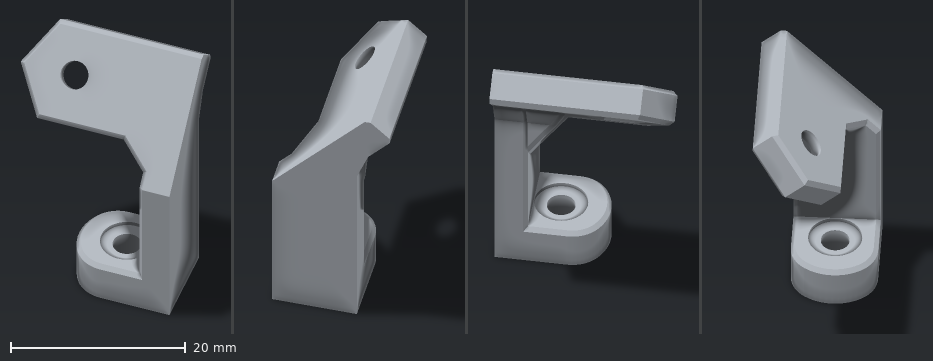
import cadquery as cq
import math

column_width = 3.8
body_depth = 10.0
foot_length = 12.73
foot_height = 5.0
foot_end_radius = 5.78
foot_corner_radius = 4.0
chamfer_size = 0.5

bend_height = 18.85
plate_tilt = 47.7
plate_thickness = 4.0
plate_length = 20.85
plate_lower_edge = 5.1
plate_upper_edge = 16.75
plate_tip_length = 3.4
plate_middle = (plate_lower_edge + plate_upper_edge) / 2

inner_corner_leg = 3.12
gusset_leg = 4.48
back_flare_leg = 1.98

hole_diameter = 3.3
counterbore_diameter = 6.2
counterbore_depth = 0.5
foot_hole_x = foot_end_radius - foot_length
plate_hole_x = -14.18
nut_across_flats = 6.12
nut_across_corners = nut_across_flats / math.cos(math.pi / 6)
nut_pocket_floor = 1.42

inner_corner_sum = plate_lower_edge - inner_corner_leg - column_width

tolerance = 0.003
tilt_sin = math.sin(math.radians(plate_tilt))
tilt_cos = math.cos(math.radians(plate_tilt))

plate_plane = cq.Plane(origin=(0, 0, bend_height), xDir=(1, 0, 0), normal=(0, -tilt_sin, tilt_cos))

back_corner_height = bend_height + (body_depth * tilt_sin - plate_thickness) / tilt_cos


def slope_point(slope, depth):
    """Global (y, z) of a point up the slope and behind the plate's front face."""
    y = slope * tilt_cos + depth * tilt_sin
    z = bend_height + slope * tilt_sin - depth * tilt_cos
    return y, z


back_bottom = (body_depth, 0)
back_corner_slope = (body_depth - plate_thickness * tilt_sin) / tilt_cos
flare_top_slope = back_corner_slope + back_flare_leg
flare_bottom = (body_depth, back_corner_height - back_flare_leg)
flare_top = slope_point(flare_top_slope, plate_thickness)

flare_root = (2 * flare_bottom[0] - flare_top[0], 2 * flare_bottom[1] - flare_top[1])


def chamfer_edges(solid, is_chamfered):
    """Chamfer the edges of a solid whose middle point passes the given test."""
    chosen = [edge for edge in solid.Edges() if is_chamfered(edge.Center())]
    return cq.Workplane(solid.chamfer(chamfer_size, None, chosen))


def side_outline(back_points, width):
    """Side outline closed by the given back points, listed upward, extruded from x = 0."""
    front_bottom = (0, back_points[0][1])
    front_top = slope_point(flare_top_slope, 0)
    front_bend = (0, bend_height)
    return (
        cq.Workplane("YZ")
        .polyline([front_bottom, *back_points, front_top, front_bend])
        .close()
        .extrude(-width)
    )


def on_column_back(point):
    return abs(point.y - body_depth) < tolerance


def on_flare(point):
    run = flare_top[0] - flare_bottom[0]
    rise = flare_top[1] - flare_bottom[1]
    offset = (point.y - flare_bottom[0]) * rise - (point.z - flare_bottom[1]) * run
    return abs(offset) < tolerance


def make_column():
    def is_chamfered(point):
        on_inner_side = abs(point.x + column_width) < tolerance
        on_front = abs(point.y) < tolerance or abs(plate_plane.toLocalCoords(point).z) < tolerance
        return on_inner_side and (on_front or on_column_back(point) or on_flare(point))

    column = side_outline([back_bottom, flare_bottom, flare_top], column_width)
    return chamfer_edges(column.val(), is_chamfered)


def make_plate():
    corner_x = plate_tip_length - plate_length
    plate = (
        cq.Workplane(plate_plane)
        .polyline([
            (0, 0),
            (inner_corner_sum, 0),
            (inner_corner_sum - plate_lower_edge, plate_lower_edge),
            (corner_x, plate_lower_edge),
            (-plate_length, plate_middle),
            (corner_x, plate_upper_edge),
            (0, plate_upper_edge),
        ])
        .close()
        .extrude(-plate_thickness)
    )

    def is_chamfered(point):
        local = plate_plane.toLocalCoords(point)
        on_broad_face = min(abs(local.z), abs(local.z + plate_thickness)) < tolerance
        on_joined_side = local.x > -tolerance or local.y < tolerance
        return on_broad_face and not on_joined_side

    return chamfer_edges(plate.val(), is_chamfered)


def make_gusset():
    """Sloping fill behind the plate, sharing the diagonal face of the plate's inner corner."""
    start_depth = plate_thickness / 2
    end_depth = plate_thickness + gusset_leg
    reach = end_depth - start_depth
    diagonal_start = inner_corner_sum + column_width
    corner_prism = (
        cq.Workplane(plate_plane)
        .polyline([
            (-column_width, diagonal_start),
            (inner_corner_sum - plate_upper_edge, plate_upper_edge),
            (-column_width, plate_upper_edge),
        ])
        .close()
        .extrude(-end_depth)
    )
    wedge_plane = cq.Plane(plate_plane.origin, xDir=(1, 0, 0), normal=plate_plane.yDir)
    wedge = (
        cq.Workplane(wedge_plane)
        .polyline([
            (-column_width, start_depth),
            (-column_width - reach, start_depth),
            (-column_width, end_depth),
        ])
        .close()
        .extrude(plate_upper_edge)
    )
    blank = corner_prism.intersect(wedge)
    back_corner = (body_depth, back_corner_height)

    def chamfered_part(back_points, on_back):
        """Trim the blank to a side outline and chamfer its underside along the back and diagonal."""
        part = blank.intersect(side_outline(back_points, plate_length))

        def is_chamfered(point):
            local = plate_plane.toLocalCoords(point)
            on_diagonal = abs(local.x + local.y - inner_corner_sum) < tolerance
            on_underside = abs(local.x + local.z + column_width + end_depth) < tolerance
            return on_underside and (on_diagonal or on_back(point))

        return chamfer_edges(part.solids().val(), is_chamfered)

    against_column = chamfered_part([back_bottom, back_corner], on_column_back)
    against_flare = chamfered_part([flare_root, flare_top], on_flare)
    return against_column.union(against_flare)


def make_foot():
    """Foot whose large round end blends into both sides through smaller arcs."""
    middle = body_depth / 2
    corner_rise = middle - foot_corner_radius
    center_gap = foot_end_radius - foot_corner_radius
    corner_run = math.sqrt(center_gap ** 2 - corner_rise ** 2)
    corner_x = foot_hole_x - corner_run
    blend_angle = math.atan2(corner_rise, corner_run)
    middle_angle = (blend_angle + math.pi / 2) / 2

    def corner_point(angle, side):
        x = corner_x - foot_corner_radius * math.cos(angle)
        y = middle + side * (corner_rise + foot_corner_radius * math.sin(angle))
        return x, y

    foot = (
        cq.Workplane("XY")
        .moveTo(0, 0)
        .lineTo(corner_x, 0)
        .threePointArc(corner_point(middle_angle, -1), corner_point(blend_angle, -1))
        .threePointArc((-foot_length, middle), corner_point(blend_angle, 1))
        .threePointArc(corner_point(middle_angle, 1), (corner_x, body_depth))
        .lineTo(0, body_depth)
        .close()
        .extrude(foot_height)
    )

    def is_chamfered(point):
        return abs(point.z - foot_height) < tolerance and point.x < -tolerance

    return chamfer_edges(foot.val(), is_chamfered)


def make_foot_hole():
    """Through hole with a shallow counterbore in the top of the foot."""
    bore = cq.Workplane("XY").circle(hole_diameter / 2).extrude(foot_height)
    counterbore = (
        cq.Workplane("XY")
        .workplane(offset=foot_height - counterbore_depth)
        .circle(counterbore_diameter / 2)
        .extrude(counterbore_depth)
    )
    return bore.union(counterbore).translate((foot_hole_x, body_depth / 2, 0))


def make_plate_hole():
    """Through hole with a hexagonal nut pocket let into the back of the plate."""
    center_plane = cq.Workplane(plate_plane).center(plate_hole_x, plate_middle)
    bore = center_plane.circle(hole_diameter / 2).extrude(-plate_thickness)
    pocket = (
        center_plane.workplane(offset=-nut_pocket_floor)
        .polygon(6, nut_across_corners)
        .extrude(nut_pocket_floor - plate_thickness)
    )
    return bore.union(pocket)


body = make_column().union(make_plate()).union(make_gusset()).union(make_foot()).clean()
result = body.cut(make_foot_hole()).cut(make_plate_hole())